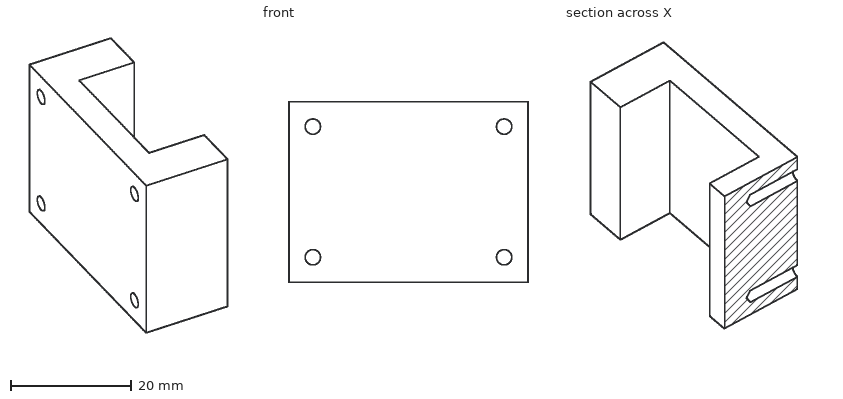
import cadquery as cq
import math

width = 39.75
depth = 15.5
height = 30.0

side_wall = 8.0
front_wall = 5.0

hole_diameter = 2.55
hole_depth = 10.0
drill_tip_angle = 118.0
hole_spacing_x = width - side_wall
hole_spacing_z = 21.7


def make_body():
    """U-shaped channel, centred on X and Z, with its front face on Y = 0."""
    block = cq.Workplane("XY").box(width, depth, height, centered=(True, False, True))
    channel = (
        cq.Workplane("XY")
        .box(width - 2 * side_wall, depth - front_wall, height, centered=(True, False, True))
        .translate((0, front_wall, 0))
    )
    return block.cut(channel)


def make_drilled_hole(x, z):
    """Cylinder with a conical drill tip, running from the front face toward +Y."""
    radius = hole_diameter / 2
    tip_length = radius / math.tan(math.radians(drill_tip_angle / 2))
    return (
        cq.Workplane("XY")
        .lineTo(radius, 0)
        .lineTo(radius, hole_depth)
        .lineTo(0, hole_depth + tip_length)
        .close()
        .revolve(360, (0, 0, 0), (0, 1, 0))
        .translate((x, 0, z))
    )


result = make_body()
for hole_x in (-hole_spacing_x / 2, hole_spacing_x / 2):
    for hole_z in (-hole_spacing_z / 2, hole_spacing_z / 2):
        result = result.cut(make_drilled_hole(hole_x, hole_z))